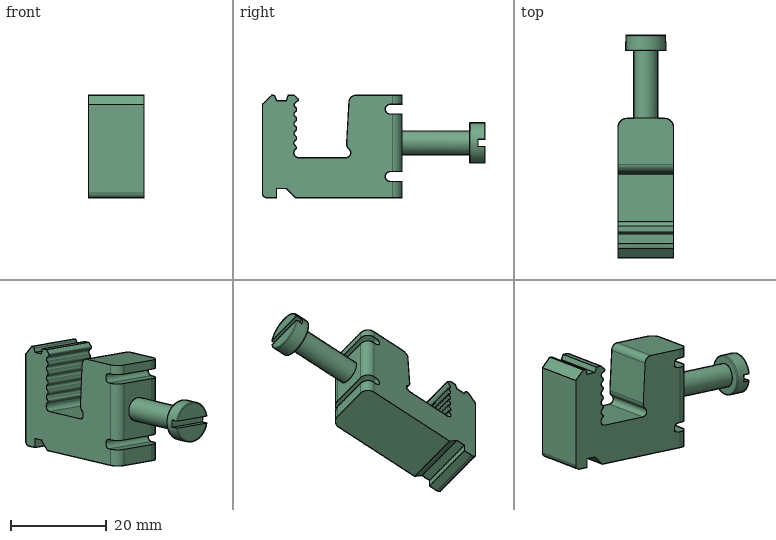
import cadquery as cq
import math

total_depth = 46.6
width = 11.7
height = 21.5
body_depth = 29.2

back_corner_radius = 1.95
back_slot_width = 2.0
back_slot_depth = 3.5
back_slot_heights = [4.47, 18.55]

floor_z = 8.45
jaw_top_y = 18.17
jaw_top_radius = 1.5
jaw_nose_y = 17.55
jaw_nose_z = 10.7
jaw_nose_radius = 1.5
floor_corner_radius = 1.0

tooth_count = 5
tooth_pitch = 2.0
tooth_tip_y = 7.4
tooth_depth = tooth_pitch / 2
tooth_radius = 0.55
lowest_tip_y = 7.25
lowest_tip_z = 10.5
lowest_tip_radius = 0.25

lip_tip_y = 7.7
lip_tip_z = 20.5
lip_tip_radius = 0.2
lip_flat_y = 6.65
groove_near_y = 3.0
groove_far_y = 5.0
top_groove_depth = 1.1
top_groove_angle = 20.0
top_groove_edge_radius = 0.4
front_chamfer = 1.95

foot_groove_depth = 1.95
foot_radius = 1.0

screw_z = 11.5
shank_diameter = 5.05
head_diameter = 8.5
head_length = 3.25
head_edge_radius = 0.2
drive_slot_width = 1.5
drive_slot_depth = 1.5


def unit_vector(start, end):
    """Direction in the YZ plane from one point to another."""
    length = math.dist(start, end)
    return (end[0] - start[0]) / length, (end[1] - start[1]) / length


def rounded_outline(corners):
    """Closed YZ outline through (y, z, radius) corners; radius 0 leaves a corner sharp."""
    outline = None
    for index, (y, z, radius) in enumerate(corners):
        before = unit_vector((y, z), corners[index - 1][:2])
        after = unit_vector((y, z), corners[(index + 1) % len(corners)][:2])
        half_angle = math.acos(before[0] * after[0] + before[1] * after[1]) / 2
        setback = radius / math.tan(half_angle)
        arc_start = (y + setback * before[0], z + setback * before[1])
        arc_end = (y + setback * after[0], z + setback * after[1])
        if outline is None:
            outline = cq.Workplane("YZ", origin=(-width / 2, 0, 0)).moveTo(*arc_start)
        else:
            outline = outline.lineTo(*arc_start)
        if radius > 0:
            bisector = unit_vector((0, 0), (before[0] + after[0], before[1] + after[1]))
            inset = radius / math.sin(half_angle) - radius
            arc_middle = (y + inset * bisector[0], z + inset * bisector[1])
            outline = outline.threePointArc(arc_middle, arc_end)
    return outline.close()


def foot_corners():
    """Underside from the front face to the back face."""
    return [
        (0, 0, foot_radius),
        (groove_near_y, 0, 0),
        (groove_near_y, foot_groove_depth, 0),
        (groove_far_y, foot_groove_depth, 0),
        (groove_far_y + foot_groove_depth, 0, 0),
        (body_depth, 0, 0),
    ]


def jaw_corners():
    """Back face, jaw and channel floor; both floor corners are undercut at 45 degrees."""
    return [
        (body_depth, height, 0),
        (jaw_top_y, height, jaw_top_radius),
        (jaw_nose_y, jaw_nose_z, jaw_nose_radius),
        (jaw_nose_y + jaw_nose_z - floor_z, floor_z, floor_corner_radius),
        (lowest_tip_y - (lowest_tip_z - floor_z), floor_z, floor_corner_radius),
    ]


def tooth_corners():
    """Tips and valleys of the serrations, from the lowest tip upwards."""
    corners = []
    for index in range(tooth_count):
        tip_z = lowest_tip_z + index * tooth_pitch
        if index == 0:
            corners.append((lowest_tip_y, tip_z, lowest_tip_radius))
        else:
            corners.append((tooth_tip_y, tip_z, tooth_radius))
        corners.append((tooth_tip_y - tooth_depth, tip_z + tooth_pitch / 2, tooth_radius))
    return corners


def arm_top_corners():
    """Lip, flared groove and front chamfer on top of the arm."""
    flare = top_groove_depth * math.tan(math.radians(top_groove_angle))
    groove_z = height - top_groove_depth
    return [
        (lip_tip_y, lip_tip_z, lip_tip_radius),
        (lip_flat_y, height, 0),
        (groove_far_y + flare, height, 0),
        (groove_far_y, groove_z, 0),
        (groove_near_y, groove_z, 0),
        (groove_near_y - flare, height, top_groove_edge_radius),
        (front_chamfer, height, 0),
        (0, height - front_chamfer, 0),
    ]


def make_body():
    corners = foot_corners() + jaw_corners() + tooth_corners() + arm_top_corners()
    body = rounded_outline(corners).extrude(width)
    body = body.edges("|Z and >Y").fillet(back_corner_radius)
    slots = (
        cq.Workplane("YZ", origin=(-width / 2, 0, 0))
        .pushPoints([(body_depth, z) for z in back_slot_heights])
        .slot2D(2 * back_slot_depth, back_slot_width)
        .extrude(width)
    )
    return body.cut(slots)


def make_screw():
    head_seat_y = total_depth - head_length
    shank = (
        cq.Workplane("XZ", origin=(0, body_depth, screw_z))
        .circle(shank_diameter / 2)
        .extrude(-(head_seat_y - body_depth))
    )
    head = (
        cq.Workplane("XZ", origin=(0, head_seat_y, screw_z))
        .circle(head_diameter / 2)
        .extrude(-head_length)
        .edges()
        .fillet(head_edge_radius)
    )
    drive_slot = cq.Workplane(origin=(0, total_depth, screw_z)).box(
        head_diameter, 2 * drive_slot_depth, drive_slot_width
    )
    return shank.union(head.cut(drive_slot))


result = make_body().union(make_screw())